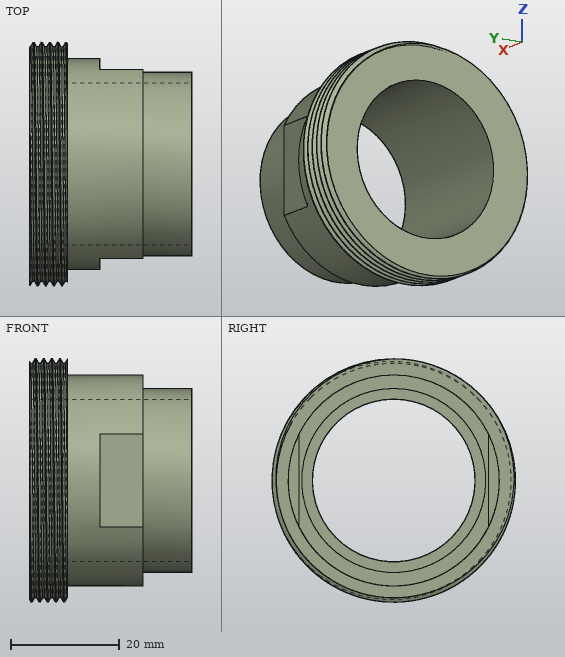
import cadquery as cq
import math

THREAD_DIAMETER = 45.0
THREAD_PITCH = 1.5
FLANGE_LENGTH = 7.0

BODY_DIAMETER = 39.0
BODY_END = 21.0
FLAT_START = 13.0
WIDTH_ACROSS_FLATS = 35.0

SPIGOT_DIAMETER = 34.0
TOTAL_LENGTH = 30.0
BORE_DIAMETER = 30.0

FLANK_ANGLE = math.radians(30.0)
SHARP_HEIGHT = THREAD_PITCH / (2 * math.tan(FLANK_ANGLE))
THREAD_DEPTH = SHARP_HEIGHT * 5 / 8
ROOT_FLAT = THREAD_PITCH / 4
CUTTER_OVERREACH = 0.05

TURNING_PLANE = cq.Plane(origin=(0, 0, 0), xDir=(0, 0, 1), normal=(1, 0, 0))
THREAD_PLANE = cq.Plane(origin=(0, 0, 0), xDir=(0, 1, 0), normal=(1, 0, 0))


def cylinder(diameter, start, end):
    """Cylinder about the part axis between two X positions."""
    section = cq.Workplane(TURNING_PLANE).workplane(offset=start).circle(diameter / 2)
    return section.extrude(end - start)


def thread_groove():
    """Right-handed helical groove, starting on the +Y side, that overruns both flange faces."""
    root_radius = THREAD_DIAMETER / 2 - THREAD_DEPTH
    outer_radius = THREAD_DIAMETER / 2 + CUTTER_OVERREACH
    root_half = ROOT_FLAT / 2
    outer_half = root_half + (outer_radius - root_radius) * math.tan(FLANK_ANGLE)

    overrun_turns = 1
    turns = math.ceil(FLANGE_LENGTH / THREAD_PITCH) + 2 * overrun_turns
    helix = cq.Wire.makeHelix(THREAD_PITCH, turns * THREAD_PITCH, root_radius)
    profile = cq.Workplane("XZ").polyline([
        (root_radius, -root_half),
        (outer_radius, -outer_half),
        (outer_radius, outer_half),
        (root_radius, root_half),
    ]).close()
    groove = profile.sweep(cq.Workplane(helix), isFrenet=True).val()
    lead_in = cq.Location(cq.Vector(0, 0, -overrun_turns * THREAD_PITCH))
    return groove.moved(cq.Location(THREAD_PLANE) * lead_in)


def threaded_flange():
    """Flange with the thread cut into its rim."""
    return cylinder(THREAD_DIAMETER, 0, FLANGE_LENGTH).cut(cq.Workplane(thread_groove()))


def body_with_flats():
    """Cylindrical body with parallel flats on the -Y and +Y sides."""
    front = cylinder(BODY_DIAMETER, 0, FLAT_START)
    flats_slab = (
        cq.Workplane(TURNING_PLANE)
        .workplane(offset=FLAT_START)
        .rect(BODY_DIAMETER, WIDTH_ACROSS_FLATS)
        .extrude(BODY_END - FLAT_START)
    )
    rear = cylinder(BODY_DIAMETER, FLAT_START, BODY_END).intersect(flats_slab)
    return front.union(rear)


spigot = cylinder(SPIGOT_DIAMETER, 0, TOTAL_LENGTH)
bore = cylinder(BORE_DIAMETER, 0, TOTAL_LENGTH)

result = threaded_flange().union(body_with_flats()).union(spigot).cut(bore).solids()